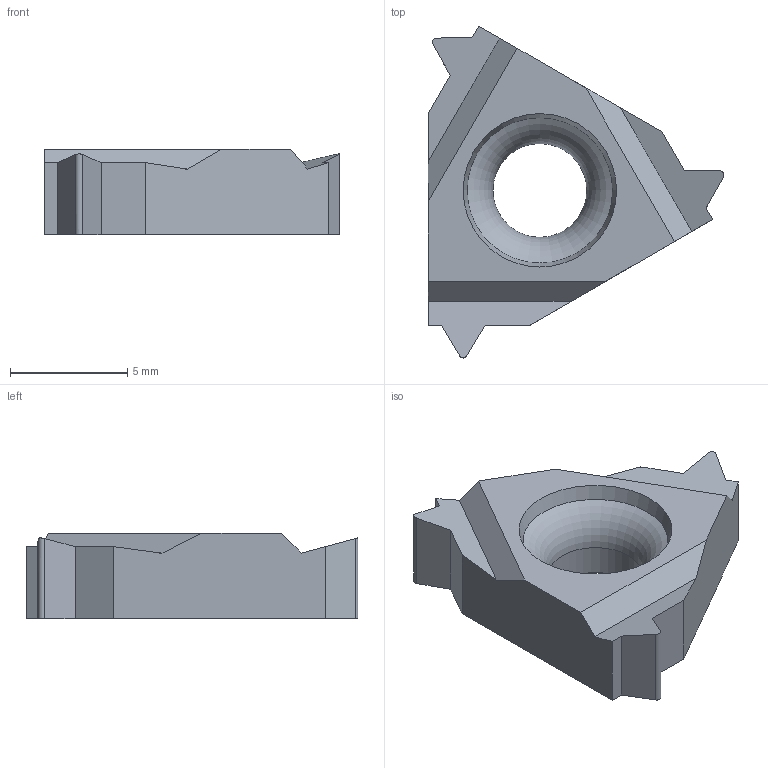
import cadquery as cq
import math


thickness = 3.65
inscribed_radius = 9.525 / 2
root_distance = 5.765
corner_count = 3
corner_angle = 360 / corner_count

tooth_offset = 1.495
tooth_height = 1.378
tooth_half_angle = math.radians(31)
tip_radius = 0.18

groove_bottom_distance = 4.73
groove_depth = 0.85
back_wall_angle = math.radians(45)
rake_angle = math.radians(15)

mouth_radius = 3.27
seat_radius = 3.1
mouth_depth = 0.61
bore_radius = 2.0
seat_depth = 2.35

clearance = 5.0


def around_corners(shape):
    """Return one copy of the shape for each corner of the insert."""
    axis_start = (0, 0, 0)
    axis_end = (0, 0, 1)
    return [shape.rotate(axis_start, axis_end, i * corner_angle) for i in range(corner_count)]


def make_triangle():
    """Triangle whose sides touch the inscribed circle, with its left side parallel to Y."""
    corner_radius = inscribed_radius / math.cos(math.pi / corner_count)
    return (
        cq.Workplane("XY")
        .polygon(corner_count, 2 * corner_radius)
        .extrude(thickness)
    )


def make_corner_cut():
    """Block that removes everything beyond the root line of the lower corner."""
    width = 4 * root_distance
    return (
        cq.Workplane("XY")
        .center(0, -root_distance - clearance / 2)
        .rect(width, clearance)
        .extrude(thickness)
    )


def make_tooth():
    """Pointed tooth with a round tip, pointing to -Y at the lower corner."""
    center_x = tooth_offset - inscribed_radius
    tip_y = -root_distance - tooth_height
    tip_center_y = tip_y + tip_radius
    tangent_half_width = tip_radius * math.cos(tooth_half_angle)
    tangent_y = tip_center_y - tip_radius * math.sin(tooth_half_angle)
    base_y = -inscribed_radius
    flank_height = -root_distance - tangent_y
    root_half_width = tangent_half_width + flank_height * math.tan(tooth_half_angle)
    return (
        cq.Workplane("XY")
        .moveTo(center_x - root_half_width, base_y)
        .lineTo(center_x - root_half_width, -root_distance)
        .lineTo(center_x - tangent_half_width, tangent_y)
        .threePointArc((center_x, tip_y), (center_x + tangent_half_width, tangent_y))
        .lineTo(center_x + root_half_width, -root_distance)
        .lineTo(center_x + root_half_width, base_y)
        .close()
        .extrude(thickness)
    )


def make_groove():
    """Chip groove along the lower corner, open at the top and beyond the tooth tip."""
    length = 4 * root_distance
    bottom_z = thickness - groove_depth
    wall_top_y = -groove_bottom_distance + groove_depth / math.tan(back_wall_angle)
    outer_y = -root_distance - tooth_height - clearance
    rake_rise = (-groove_bottom_distance - outer_y) * math.tan(rake_angle)
    top_z = thickness + clearance
    return (
        cq.Workplane("YZ")
        .moveTo(wall_top_y, thickness)
        .lineTo(-groove_bottom_distance, bottom_z)
        .lineTo(outer_y, bottom_z + rake_rise)
        .lineTo(outer_y, top_z)
        .lineTo(wall_top_y, top_z)
        .close()
        .extrude(length / 2, both=True)
    )


def make_hole():
    """Screw hole turned about Z: cone, convex seat arc tangent to the bore, then the bore."""
    seat_drop = seat_depth - mouth_depth
    seat_width = seat_radius - bore_radius
    arc_radius = (seat_drop**2 + seat_width**2) / (2 * seat_width)
    arc_center_x = bore_radius + arc_radius
    arc_center_z = thickness - seat_depth
    mid_angle = math.asin(seat_drop / arc_radius) / 2
    mid_x = arc_center_x - arc_radius * math.cos(mid_angle)
    mid_z = arc_center_z + arc_radius * math.sin(mid_angle)
    return (
        cq.Workplane("XZ")
        .moveTo(0, 0)
        .lineTo(bore_radius, 0)
        .lineTo(bore_radius, arc_center_z)
        .threePointArc((mid_x, mid_z), (seat_radius, thickness - mouth_depth))
        .lineTo(mouth_radius, thickness)
        .lineTo(0, thickness)
        .close()
        .revolve(360, (0, 0), (0, 1))
    )


body = make_triangle()
for corner_cut in around_corners(make_corner_cut()):
    body = body.cut(corner_cut)
for tooth in around_corners(make_tooth()):
    body = body.union(tooth)
for groove in around_corners(make_groove()):
    body = body.cut(groove)

result = body.cut(make_hole())